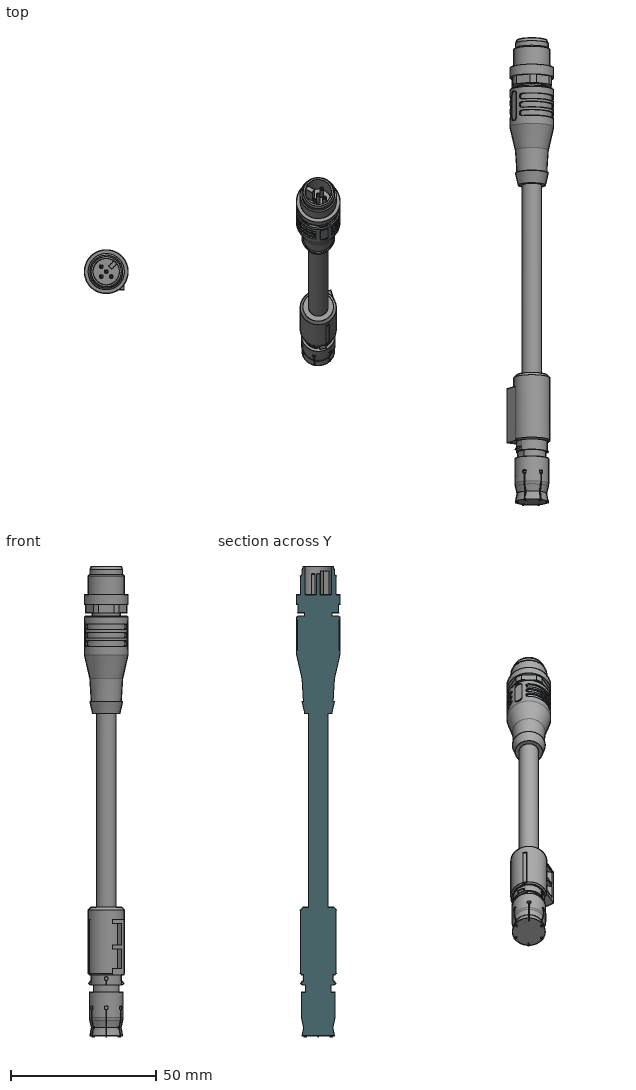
import cadquery as cq
import math

LENGTH = 161.7
GRIP_DIAMETER = 15.0
GRIP_RADIUS = GRIP_DIAMETER / 2
CABLE_RADIUS = 3.4

SLEEVE_RADIUS = 5.8
SLEEVE_BOTTOM = 5.7
SLEEVE_BEVEL_TOP = 6.6
SLEEVE_TOP = 15.4
FLARE_RADIUS = 5.7
FLARE_WAIST_DIAMETER = 10.2
FLARE_WAIST_RADIUS = FLARE_WAIST_DIAMETER / 2
FLARE_BOTTOM = 0.3
FLARE_WAIST = 3.2
TIP_HEIGHT = 0.6
NECK_RADIUS = 4.9
NECK_ACROSS_FLATS = 8.9
NECK_FLAT = NECK_ACROSS_FLATS / 2
SHOULDER_RADIUS = 5.3
SHOULDER_BOTTOM = 17.8
SLOT_WIDTH = 0.3
SLOT_DEPTH = 1.0
SLOT_HOLE_RADIUS = 0.6
SLEEVE_SLOT_COUNT = 6
SLEEVE_SLOT_HOLE = 10.0
SHOULDER_SLOT_HOLE = 20.0
SHOULDER_FLAT = 5.2
LATCH_REACH = 6.1
LATCH_WIDTH = 2.3
LATCH_HEIGHT = 1.5
LATCH_NOSE = 0.5

BODY_DIAMETER = 12.5
BODY_RADIUS = BODY_DIAMETER / 2
BODY_BOTTOM = 21.3
BODY_TOP = 44.6
BODY_TOP_CHAMFER = 1.0
BODY_BOTTOM_CHAMFER = 0.5
HOLDER_CORNER_X = 6.1
HOLDER_CORNER_Y = -6.3
HOLDER_TOP = 40.3
HOLDER_ARM_START = 2.1
HOLDER_WALL = 1.0
HOLDER_FLOOR_START = 3.9
HOLDER_ARM_HEIGHT = 1.3
HOLDER_FOOT_HEIGHT = 2.1
HOLDER_MIDDLE_ARM = 30.2
GROOVE_ANGLE = 196.0
GROOVE_BOTTOM = 21.8
GROOVE_WIDTH = 1.3
GROOVE_DEPTH = 0.3

RELIEF_BOTTOM = 111.1
RELIEF_BOTTOM_RADIUS = 4.7
RELIEF_BEAD = 115.3
RELIEF_BEAD_RADIUS = 5.7
RELIEF_WAIST_RADIUS = 5.2
CONE_BOTTOM = 123.2
CONE_BOTTOM_RADIUS = 5.7
GRIP_BOTTOM = 131.3
GRIP_TOP = 144.7
GRIP_CHAMFER = 0.5
GRIP_GROOVE_CENTERS = (135.2, 138.1, 141.0)
GRIP_GROOVE_HEIGHT = 2.0
GRIP_GROOVE_DEPTH = 0.5
GRIP_GROOVE_END = 2.7
WINDOW_CENTER = 138.1
WINDOW_HEIGHT = 10.3
WINDOW_WIDTH = 2.7
WINDOW_DEPTH = 0.3

NUT_BOTTOM = 145.7
NUT_RADIUS = 7.1
NUT_FLAT = 6.6
COLLAR_BOTTOM = 148.6
COLLAR_TOP = 152.0
BARREL_RADIUS = BODY_RADIUS
BARREL_TOP = 158.5
LIP_RADIUS = 5.7
LIP_BOTTOM = 159.0
LIP_CHAMFER = 0.5
LIP_CHAMFER_HEIGHT = 1.1

SOCKET_RADIUS = 4.5
SOCKET_FLOOR = 152.0
KEY_ANGLE = 45.0
KEY_WIDTH = 1.5
KEY_REACH = 2.0
CONTACT_RADIUS = 0.6
CONTACT_CHAMFER = 0.3
CONTACT_CIRCLE = 2.5
CONTACT_TOP = 159.3
KEY_TOP = 160.1
CONTACT_ANGLES = (135.0, 225.0, 315.0)


def cylinder(radius, bottom, top):
    return cq.Workplane("XY").workplane(offset=bottom).circle(radius).extrude(top - bottom)


def box(x_range, y_range, z_range):
    spans = [high - low for low, high in (x_range, y_range, z_range)]
    corner = (x_range[0], y_range[0], z_range[0])
    return cq.Workplane("XY").box(*spans, centered=False).translate(corner)


def turn(shape, angle):
    return shape.rotate((0, 0, 0), (0, 0, 1), angle)


def turned_core():
    """Revolved silhouette, from the flared open end up to the plug lip."""
    return (
        cq.Workplane("XZ")
        .moveTo(0, FLARE_BOTTOM)
        .lineTo(FLARE_RADIUS, FLARE_BOTTOM)
        .lineTo(FLARE_WAIST_RADIUS, FLARE_WAIST)
        .lineTo(FLARE_RADIUS, SLEEVE_BOTTOM)
        .lineTo(SLEEVE_RADIUS, SLEEVE_BEVEL_TOP)
        .lineTo(SLEEVE_RADIUS, SLEEVE_TOP)
        .lineTo(NECK_RADIUS, SLEEVE_TOP)
        .lineTo(NECK_RADIUS, SHOULDER_BOTTOM)
        .lineTo(SHOULDER_RADIUS, SHOULDER_BOTTOM)
        .lineTo(SHOULDER_RADIUS, BODY_BOTTOM)
        .lineTo(BODY_RADIUS - BODY_BOTTOM_CHAMFER, BODY_BOTTOM)
        .lineTo(BODY_RADIUS, BODY_BOTTOM + BODY_BOTTOM_CHAMFER)
        .lineTo(BODY_RADIUS, BODY_TOP - BODY_TOP_CHAMFER)
        .lineTo(BODY_RADIUS - BODY_TOP_CHAMFER, BODY_TOP)
        .lineTo(CABLE_RADIUS, BODY_TOP)
        .lineTo(CABLE_RADIUS, RELIEF_BOTTOM)
        .lineTo(RELIEF_BOTTOM_RADIUS, RELIEF_BOTTOM)
        .lineTo(RELIEF_BEAD_RADIUS, RELIEF_BEAD)
        .lineTo(RELIEF_WAIST_RADIUS, RELIEF_BEAD)
        .lineTo(CONE_BOTTOM_RADIUS, CONE_BOTTOM)
        .lineTo(GRIP_RADIUS, GRIP_BOTTOM)
        .lineTo(GRIP_RADIUS, GRIP_TOP - GRIP_CHAMFER)
        .lineTo(GRIP_RADIUS - GRIP_CHAMFER, GRIP_TOP)
        .lineTo(NECK_RADIUS, GRIP_TOP)
        .lineTo(NECK_RADIUS, NUT_BOTTOM)
        .lineTo(NUT_RADIUS, NUT_BOTTOM)
        .lineTo(NUT_RADIUS, COLLAR_BOTTOM)
        .lineTo(GRIP_RADIUS, COLLAR_BOTTOM)
        .lineTo(GRIP_RADIUS, COLLAR_TOP)
        .lineTo(BARREL_RADIUS, COLLAR_TOP)
        .lineTo(BARREL_RADIUS, BARREL_TOP)
        .lineTo(LIP_RADIUS, LIP_BOTTOM)
        .lineTo(LIP_RADIUS, LENGTH - LIP_CHAMFER_HEIGHT)
        .lineTo(LIP_RADIUS - LIP_CHAMFER, LENGTH)
        .lineTo(0, LENGTH)
        .close()
        .revolve(360, (0, 0, 0), (0, 1, 0))
    )


def nut_waste():
    """Ring segments outside the hexagon whose flats face +Y and -Y."""
    across_corners = 2 * NUT_FLAT / math.cos(math.radians(30))
    height = COLLAR_BOTTOM - NUT_BOTTOM
    hexagon = cq.Workplane("XY").workplane(offset=NUT_BOTTOM).polygon(6, across_corners).extrude(height)
    return cylinder(GRIP_RADIUS, NUT_BOTTOM, COLLAR_BOTTOM).cut(hexagon)


def flat_waste(side, flat, radius, bottom, top):
    """Sliver that leaves a flat on a round stretch; side is +1 or -1 along X."""
    near, far = sorted((side * flat, side * radius))
    return box((near, far), (-radius, radius), (bottom, top))


def slot_tip():
    """Small tip that closes the open end of a sleeve slot on the -Y side."""
    half = SLOT_WIDTH / 2
    return box((-half, half), (-FLARE_RADIUS, -FLARE_RADIUS + SLOT_DEPTH), (0, TIP_HEIGHT))


def latch(side):
    """Wedge-nosed tab on the shoulder; side is +1 or -1 along X."""
    top = SHOULDER_BOTTOM + LATCH_HEIGHT
    root = side * NECK_FLAT
    return (
        cq.Workplane("XZ", origin=(0, LATCH_WIDTH / 2, 0))
        .moveTo(root, SHOULDER_BOTTOM)
        .lineTo(side * SHOULDER_RADIUS, SHOULDER_BOTTOM)
        .lineTo(side * LATCH_REACH, SHOULDER_BOTTOM + LATCH_NOSE)
        .lineTo(side * SHOULDER_RADIUS, top)
        .lineTo(root, top)
        .close()
        .extrude(LATCH_WIDTH)
    )


def keyhole_slot(outer_radius, bottom, hole_height):
    """Narrow slot in the -Y side that ends upward in a round relief hole."""
    floor = -(outer_radius - SLOT_DEPTH)
    slot = box((-SLOT_WIDTH / 2, SLOT_WIDTH / 2), (-outer_radius, floor), (bottom, hole_height))
    hole = (
        cq.Workplane("XZ", origin=(0, floor, 0))
        .center(0, hole_height)
        .circle(SLOT_HOLE_RADIUS)
        .extrude(SLOT_DEPTH)
    )
    return slot.union(hole)


def label_holder():
    """Corner wall with a sloping inner face, carried by three arms."""
    x_end, y_end = HOLDER_CORNER_X, HOLDER_CORNER_Y
    start_y = -math.sqrt(BODY_RADIUS**2 - HOLDER_FLOOR_START**2)
    wall_outline = [
        (HOLDER_ARM_START, 0),
        (HOLDER_FLOOR_START, start_y),
        (x_end - HOLDER_WALL, y_end),
        (x_end, y_end),
        (x_end, 0),
    ]
    holder = (
        cq.Workplane("XY", origin=(0, 0, BODY_BOTTOM))
        .polyline(wall_outline)
        .close()
        .extrude(HOLDER_TOP - BODY_BOTTOM)
    )
    arms = (
        (BODY_BOTTOM, HOLDER_FOOT_HEIGHT),
        (HOLDER_MIDDLE_ARM, HOLDER_ARM_HEIGHT),
        (HOLDER_TOP - HOLDER_ARM_HEIGHT, HOLDER_ARM_HEIGHT),
    )
    for bottom, height in arms:
        arm = box((HOLDER_ARM_START, x_end), (y_end, 0), (bottom, bottom + height))
        holder = holder.union(arm)
    return holder


def body_groove():
    """Long shallow groove in the lower body, ending level with the label holder top."""
    inner = BODY_RADIUS - GROOVE_DEPTH
    half = GROOVE_WIDTH / 2
    return turn(box((inner, BODY_RADIUS + half), (-half, half), (GROOVE_BOTTOM, HOLDER_TOP)), GROOVE_ANGLE)


def grip_grooves():
    """Three round-ended finger grooves around the +Y and -Y sides."""
    floor_radius = GRIP_RADIUS - GRIP_GROOVE_DEPTH
    uncut_core = cylinder(floor_radius, GRIP_BOTTOM, GRIP_TOP)
    ring = cylinder(2 * GRIP_RADIUS, GRIP_BOTTOM, GRIP_TOP).cut(uncut_core)
    slot_length = 2 * GRIP_RADIUS
    slot_offset = GRIP_GROOVE_END + slot_length / 2
    centers = [(side * slot_offset, z) for side in (-1, 1) for z in GRIP_GROOVE_CENTERS]
    bars = (
        cq.Workplane("YZ")
        .pushPoints(centers)
        .slot2D(slot_length, GRIP_GROOVE_HEIGHT)
        .extrude(GRIP_RADIUS, both=True)
    )
    return ring.intersect(bars)


def grip_window():
    """Flat-floored upright recess in the -X side of the grip."""
    return (
        cq.Workplane("YZ", origin=(-GRIP_RADIUS, 0, 0))
        .center(0, WINDOW_CENTER)
        .slot2D(WINDOW_HEIGHT, WINDOW_WIDTH, 90)
        .extrude(WINDOW_DEPTH)
    )


def contacts():
    """Central contact and the ring contacts beside the key, all with chamfered tips."""
    pin = cylinder(CONTACT_RADIUS, SOCKET_FLOOR, CONTACT_TOP).faces(">Z").chamfer(CONTACT_CHAMFER)
    pins = pin
    for angle in CONTACT_ANGLES:
        pins = pins.union(turn(pin.translate((CONTACT_CIRCLE, 0, 0)), angle))
    return pins


def socket_key():
    """Broad rib that reaches inward from the socket wall."""
    half = KEY_WIDTH / 2
    wall_middle = (SOCKET_RADIUS + LIP_RADIUS) / 2
    rib = box((KEY_REACH, wall_middle), (-half, half), (SOCKET_FLOOR, KEY_TOP))
    return turn(rib, KEY_ANGLE)


result = turned_core().cut(nut_waste())
for side in (-1, 1):
    result = result.cut(flat_waste(side, NECK_FLAT, NECK_RADIUS, SLEEVE_TOP, SHOULDER_BOTTOM))
    result = result.cut(flat_waste(side, SHOULDER_FLAT, SHOULDER_RADIUS, SHOULDER_BOTTOM, BODY_BOTTOM))
    result = result.union(latch(side))

sleeve_slot = keyhole_slot(SLEEVE_RADIUS, FLARE_BOTTOM, SLEEVE_SLOT_HOLE)
tip = slot_tip()
for index in range(SLEEVE_SLOT_COUNT):
    angle = index * 360 / SLEEVE_SLOT_COUNT
    result = result.cut(turn(sleeve_slot, angle)).union(turn(tip, angle))
result = result.cut(keyhole_slot(SHOULDER_RADIUS, SHOULDER_BOTTOM, SHOULDER_SLOT_HOLE))

result = result.union(label_holder()).cut(body_groove())

result = result.cut(grip_grooves())
window = grip_window()
result = result.cut(window).cut(turn(window, 180))

result = result.cut(cylinder(SOCKET_RADIUS, SOCKET_FLOOR, LENGTH))
result = result.union(socket_key()).union(contacts())